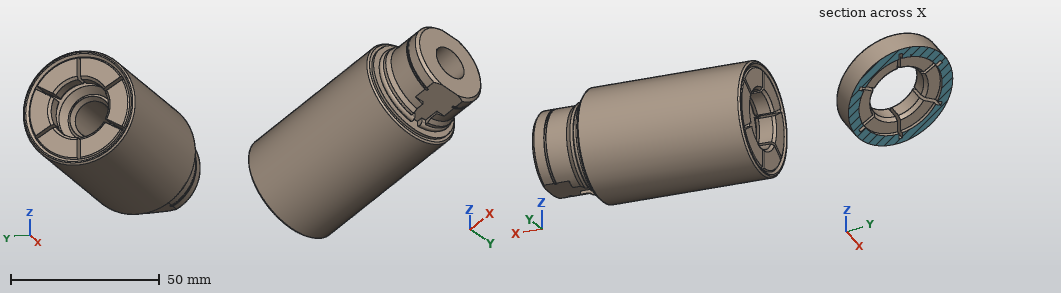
import cadquery as cq

LENGTH = 79.0
BODY_RADIUS = 40.15 / 2
BODY_END = 60.1
BODY_CHAMFER = 0.6

COLLAR_RADIUS = 36.8 / 2
COLLAR_END = 61.0
RING_END = 63.2
RING_SECTION_RADIUS = (RING_END - COLLAR_END) / 2
RING_CENTER_RADIUS = 15.4
LAND_RADIUS = 16.0
LAND_END = 64.3
NECK_RADIUS = 15.0
NECK_START = 66.0
NECK_CHAMFER = 1.0

GROOVE_START = 73.65
GROOVE_WIDTH = 0.7
GROOVE_DEPTH = 0.355

FLAT_HEIGHT = 13.5
FLAT_START = 68.9
KEYWAY_WIDTH = 6.4
RING_GAP_WIDTH = 3.2

RIM_INNER_RADIUS = 19.0
JAW_RADIUS = 36.0 / 2
JAW_FACE = 0.2
JAW_OUTER_CHAMFER = 0.5
JAW_BORE_RADIUS = 10.3
JAW_BORE_CHAMFER = 0.95
JAW_BORE_END = 6.1
JAW_BACK_RADIUS = 11.2
JAW_BACK = 7.6
CAVITY_RADIUS = 15.8
SHOULDER = 9.7
SEAT_RADIUS = 10.6
VALLEY_RADIUS = 8.4
VALLEY_DEPTH = 12.65
NOSE_RADIUS = 7.4
NOSE_DEPTH = 11.7
BORE_RADIUS = 12.7 / 2
BORE_START = 14.1

SLOT_COUNT = 6
SLOT_WIDTH = 1.2


def revolve_about_x(profile):
    return profile.close().revolve(360, (0, 0, 0), (1, 0, 0))


def make_outside():
    ring_middle = (COLLAR_END + RING_END) / 2
    ring_top = RING_CENTER_RADIUS + RING_SECTION_RADIUS
    profile = (
        cq.Workplane("XY")
        .lineTo(0, BODY_RADIUS - BODY_CHAMFER)
        .lineTo(BODY_CHAMFER, BODY_RADIUS)
        .lineTo(BODY_END - BODY_CHAMFER, BODY_RADIUS)
        .lineTo(BODY_END, BODY_RADIUS - BODY_CHAMFER)
        .lineTo(BODY_END, COLLAR_RADIUS)
        .lineTo(COLLAR_END, COLLAR_RADIUS)
        .lineTo(COLLAR_END, RING_CENTER_RADIUS)
        .threePointArc((ring_middle, ring_top), (RING_END, RING_CENTER_RADIUS))
        .lineTo(RING_END, LAND_RADIUS)
        .lineTo(LAND_END, LAND_RADIUS)
        .lineTo(NECK_START, NECK_RADIUS)
        .lineTo(LENGTH - NECK_CHAMFER, NECK_RADIUS)
        .lineTo(LENGTH, NECK_RADIUS - NECK_CHAMFER)
        .lineTo(LENGTH, 0)
    )
    return revolve_about_x(profile)


def make_bore():
    profile = (
        cq.Workplane("XY")
        .lineTo(0, RIM_INNER_RADIUS)
        .lineTo(JAW_FACE + JAW_OUTER_CHAMFER, JAW_RADIUS)
        .lineTo(JAW_FACE, JAW_RADIUS - JAW_OUTER_CHAMFER)
        .lineTo(JAW_FACE, JAW_BORE_RADIUS + JAW_BORE_CHAMFER)
        .lineTo(JAW_FACE + JAW_BORE_CHAMFER, JAW_BORE_RADIUS)
        .lineTo(JAW_BORE_END, JAW_BORE_RADIUS)
        .lineTo(JAW_BACK, JAW_BACK_RADIUS)
        .lineTo(JAW_BACK, CAVITY_RADIUS)
        .lineTo(SHOULDER, CAVITY_RADIUS)
        .lineTo(SHOULDER, SEAT_RADIUS)
        .lineTo(VALLEY_DEPTH, VALLEY_RADIUS)
        .radiusArc((NOSE_DEPTH, NOSE_RADIUS), VALLEY_RADIUS - NOSE_RADIUS)
        .lineTo(BORE_START, BORE_RADIUS)
        .lineTo(LENGTH, BORE_RADIUS)
        .lineTo(LENGTH, 0)
    )
    return revolve_about_x(profile)


def make_neck_groove():
    bottom_radius = NECK_RADIUS - GROOVE_DEPTH
    return (
        cq.Workplane("YZ", origin=(GROOVE_START, 0, 0))
        .circle(BODY_RADIUS)
        .circle(bottom_radius)
        .extrude(GROOVE_WIDTH)
    )


def make_flat_cut(start, end, width):
    """Block that removes everything above the flat between two X positions."""
    return cq.Workplane("XY").box(
        end - start, width, BODY_RADIUS - FLAT_HEIGHT, centered=(False, True, False)
    ).translate((start, 0, FLAT_HEIGHT))


def make_flat():
    ring_gap = make_flat_cut(COLLAR_END, RING_END, RING_GAP_WIDTH)
    keyway = make_flat_cut(RING_END, FLAT_START, KEYWAY_WIDTH)
    flat = make_flat_cut(FLAT_START, LENGTH, 2 * NECK_RADIUS)
    return ring_gap.union(keyway).union(flat)


def make_jaw_slots():
    """Radial slots through the jaws, from the jaw face to the shoulder behind the cavity."""
    depth = SHOULDER - JAW_FACE
    slots = cq.Workplane("XY")
    for index in range(SLOT_COUNT):
        slot = cq.Workplane("XY").box(
            depth, SLOT_WIDTH, JAW_RADIUS, centered=(False, True, False)
        ).translate((JAW_FACE, 0, 0))
        angle = index * 360 / SLOT_COUNT
        slots = slots.add(slot.rotate((0, 0, 0), (1, 0, 0), angle))
    limit = cq.Workplane("YZ", origin=(JAW_FACE, 0, 0)).circle(JAW_RADIUS).extrude(depth)
    return limit.intersect(slots.combine())


result = make_outside().cut(make_bore()).cut(make_neck_groove()).cut(make_jaw_slots())
for turn in (0, 180):
    result = result.cut(make_flat().rotate((0, 0, 0), (1, 0, 0), turn))